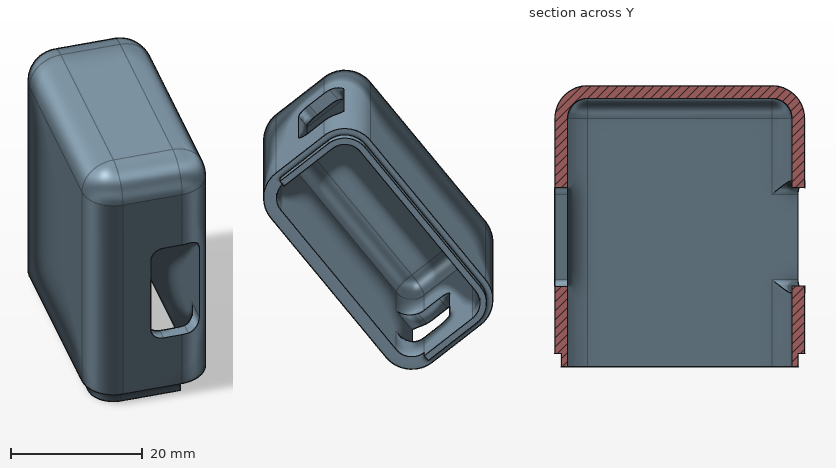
import cadquery as cq

length = 38.0
width = 19.4
height = 42.75
corner_radius = 5.0
wall = 1.95

lip_height = 2.0
lip_inset = 1.0

slot_width = 8.0
slot_height = 16.98
slot_radius = 2.0
slot_overlap = 0.25
slot_center_z = 19.75


def upright_block(size_x, size_y, bottom, top, radius):
    """Centred block with rounded upright edges."""
    return (
        cq.Workplane("XY", origin=(0, 0, bottom))
        .rect(size_x, size_y)
        .extrude(top - bottom)
        .edges("|Z")
        .fillet(radius)
    )


def round_top(body, radius):
    """Round the edges around the top face."""
    return body.faces(">Z").edges().fillet(radius)


def make_cover():
    """Solid outer form, standing above the lip."""
    block = upright_block(length, width, lip_height, height, corner_radius)
    return round_top(block, corner_radius)


def make_lip():
    """Inset lip that stops where the back corner rounds begin."""
    lip = upright_block(
        length - 2 * lip_inset,
        width - 2 * lip_inset,
        0,
        lip_height,
        corner_radius - lip_inset,
    )
    lip_end_y = width / 2 - corner_radius
    back_strip = (
        cq.Workplane("XY")
        .box(length, corner_radius, lip_height, centered=(True, False, False))
        .translate((0, lip_end_y, 0))
    )
    return lip.cut(back_strip)


def make_cavity():
    """Inside space, open at the bottom, one wall thickness inside the cover."""
    inner_radius = corner_radius - wall
    block = upright_block(length - 2 * wall, width - 2 * wall, 0, height - wall, inner_radius)
    return round_top(block, inner_radius)


def make_slot(side):
    """Rounded opening through one end wall: side -1 is the -X end, side 1 the +X end."""
    center_y = side * (slot_width / 2 - slot_overlap)
    return (
        cq.Workplane("XY")
        .box(length / 2, slot_width, slot_height)
        .edges("|X")
        .fillet(slot_radius)
        .translate((side * length / 2, center_y, slot_center_z))
    )


result = make_cover().union(make_lip()).cut(make_cavity())

for side in (-1, 1):
    result = result.cut(make_slot(side))